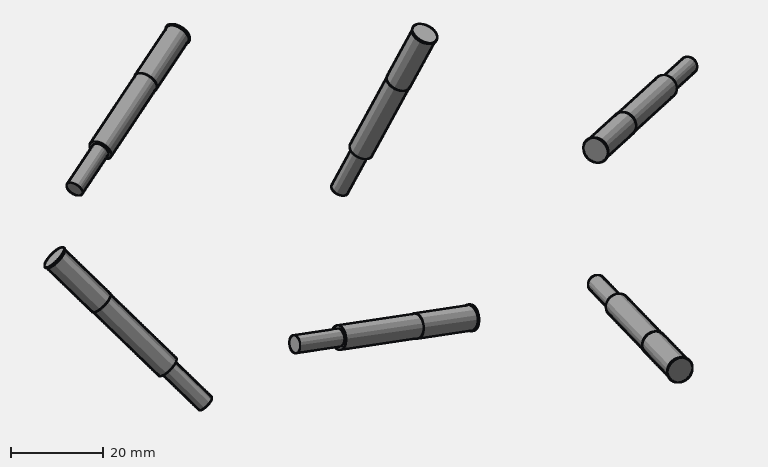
import cadquery as cq

total_length = 48.0
plunger_length = 12.0
plunger_diameter = 4.0
barrel_diameter = 5.4
sleeve_length = 15.0
sleeve_diameter = 5.6
flange_diameter = 5.9
flange_thickness = 0.35

barrel_start = plunger_length
sleeve_start = total_length - sleeve_length
flange_start = total_length - flange_thickness

plunger_radius = plunger_diameter / 2
barrel_radius = barrel_diameter / 2
sleeve_radius = sleeve_diameter / 2
flange_radius = flange_diameter / 2

half_section = [
    (0, 0),
    (plunger_radius, 0),
    (plunger_radius, barrel_start),
    (barrel_radius, barrel_start),
    (barrel_radius, sleeve_start),
    (sleeve_radius, sleeve_start),
    (sleeve_radius, flange_start),
    (flange_radius, flange_start),
    (flange_radius, total_length),
    (0, total_length),
]

result = cq.Workplane("XY").polyline(half_section).close().revolve(360, (0, 0, 0), (0, 1, 0))